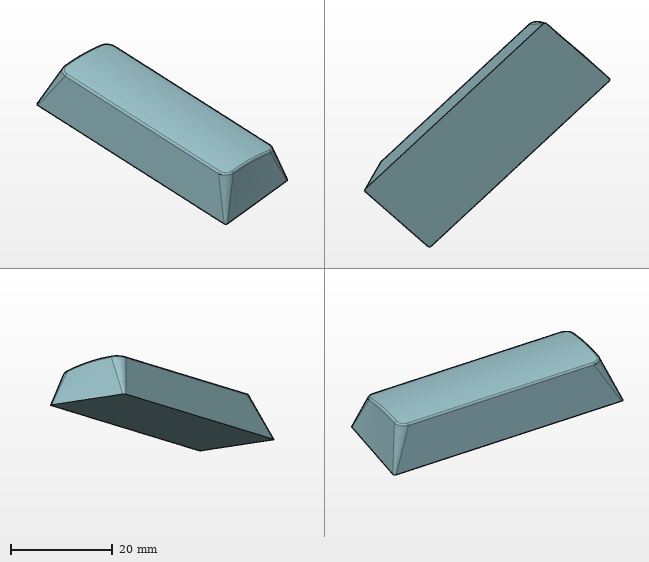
import cadquery as cq

base_length = 51.45
base_depth = 18.1
base_corner_radius = 0.45

height = 8.9
side_inset = 3.0
front_inset = 3.3
back_inset = 0.2
top_corner_radius = 2.1
top_length = base_length - 2 * side_inset
top_depth = base_depth - front_inset - back_inset
top_center_y = (front_inset - back_inset) / 2

crown_radius = 37.05
crown_axis_y = -3.9
top_edge_radius = 0.5


def rounded_block(length, depth, center_y, corner_radius):
    """Straight-sided block on the base plane, as tall as the part."""
    return (
        cq.Workplane("XY")
        .center(0, center_y)
        .rect(length, depth)
        .extrude(height)
        .edges("|Z")
        .fillet(corner_radius)
    )


def crown_cylinder():
    """Cylinder whose highest line touches the top of the part."""
    return (
        cq.Workplane("YZ")
        .center(crown_axis_y, height - crown_radius)
        .circle(crown_radius)
        .extrude(base_length / 2, both=True)
    )


def ruled_body():
    """Solid with straight-line walls from the flat base up to the outline of the crowned top."""
    base_block = rounded_block(base_length, base_depth, 0, base_corner_radius)
    top_block = rounded_block(top_length, top_depth, top_center_y, top_corner_radius)
    base_face = base_block.faces("<Z").val()
    top_face = top_block.intersect(crown_cylinder()).faces(">Z").val()
    return cq.Workplane(cq.occ_impl.shapes.loft(base_face, top_face, ruled=True))


result = ruled_body().faces(">Z").edges().fillet(top_edge_radius)